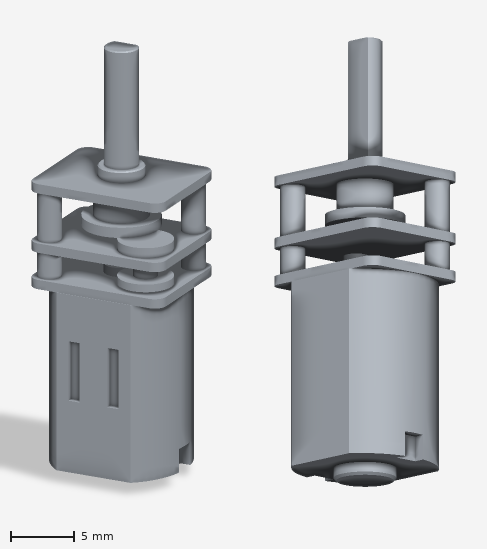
import cadquery as cq

OVERALL_HEIGHT = 35.7
BOSS_HEIGHT = 1.0
CAP_THICKNESS = 1.0
CAN_LENGTH = 13.95
PLATE_THICKNESS = 0.8
LOWER_GAP = 2.3
UPPER_GAP = 4.2
CAP_BOTTOM_Z = BOSS_HEIGHT
CAN_BOTTOM_Z = CAP_BOTTOM_Z + CAP_THICKNESS
CAN_TOP_Z = CAN_BOTTOM_Z + CAN_LENGTH
LOWER_PLATE_TOP_Z = CAN_TOP_Z + PLATE_THICKNESS
MIDDLE_PLATE_Z = LOWER_PLATE_TOP_Z + LOWER_GAP
MIDDLE_PLATE_TOP_Z = MIDDLE_PLATE_Z + PLATE_THICKNESS
UPPER_PLATE_Z = MIDDLE_PLATE_TOP_Z + UPPER_GAP
UPPER_PLATE_TOP_Z = UPPER_PLATE_Z + PLATE_THICKNESS

MOTOR_WIDTH = 11.42
MOTOR_DEPTH = 9.8
MOTOR_FLAT_WIDTH = 6.6
BOSS_DIAMETER = 5.0
BOSS_CHAMFER = 0.2
SIDE_NOTCH_WIDTH = 2.0
SIDE_NOTCH_HEIGHT = 2.0
SIDE_NOTCH_DEPTH = 1.0
POCKET_WIDTH = 1.0
POCKET_HEIGHT = 5.0
POCKET_DEPTH = 0.5
POCKET_SPACING = 3.45
POCKET_CENTER_Z = 9.53

PLATE_WIDTH = 11.8
PLATE_DEPTH = 9.7
PLATE_CORNER_RADIUS = 1.0
POST_DIAMETER = 2.0
POST_X = 4.65
POST_Y = 3.5
COLLAR_DIAMETER = 3.8
COLLAR_HEIGHT = 0.95
COLLAR_CHAMFER = 0.1

PINION_DIAMETER = 2.85
PINION_HEIGHT = 0.75
IDLER_DIAMETER = 4.55
IDLER_X = 3.2
IDLER_Y = -2.1
ARBOR_DIAMETER = 2.0
UPPER_IDLER_THICKNESS = 0.85
LOWER_IDLER_THICKNESS = 0.65
LOWER_IDLER_CLEARANCE = 0.2

SHAFT_DIAMETER = 2.8
SHAFT_TIP_CHAMFER = 0.1
SHAFT_FLAT_Y = 0.8
ROUND_ABOVE_COLLAR = 0.2
OUTPUT_GEAR_DIAMETER = 6.4
OUTPUT_GEAR_THICKNESS = 0.85
HUB_DIAMETER = 4.55
OUTPUT_GEAR_Z = MIDDLE_PLATE_TOP_Z + UPPER_IDLER_THICKNESS
COLLAR_TOP_Z = UPPER_PLATE_TOP_Z + COLLAR_HEIGHT


def cylinder(diameter, bottom_z, top_z, x=0, y=0):
    """Upright cylinder between two heights."""
    base = cq.Workplane("XY", origin=(x, y, bottom_z))
    return base.circle(diameter / 2).extrude(top_z - bottom_z)


def block(size, bottom_center):
    """Box standing on the given point."""
    return cq.Workplane("XY").box(*size, centered=(True, True, False)).translate(bottom_center)


def motor_prism(bottom_z, height):
    """Motor cross-section: two flats joined by bulged sides."""
    half_flat = MOTOR_FLAT_WIDTH / 2
    half_width = MOTOR_WIDTH / 2
    half_depth = MOTOR_DEPTH / 2
    return (
        cq.Workplane("XY", origin=(0, 0, bottom_z))
        .moveTo(-half_flat, -half_depth)
        .lineTo(half_flat, -half_depth)
        .threePointArc((half_width, 0), (half_flat, half_depth))
        .lineTo(-half_flat, half_depth)
        .threePointArc((-half_width, 0), (-half_flat, -half_depth))
        .close()
        .extrude(height)
    )


def cut_side_notches(body):
    """Notches at both sides, open at the bottom, that cross the cap and reach into the can."""
    size = (2 * SIDE_NOTCH_DEPTH, SIDE_NOTCH_WIDTH, SIDE_NOTCH_HEIGHT)
    for side in (-1, 1):
        body = body.cut(block(size, (side * MOTOR_WIDTH / 2, 0, CAP_BOTTOM_Z)))
    return body


def make_can():
    can = cut_side_notches(motor_prism(CAN_BOTTOM_Z, CAN_LENGTH))
    pocket_size = (POCKET_WIDTH, 2 * POCKET_DEPTH, POCKET_HEIGHT)
    pocket_bottom_z = POCKET_CENTER_Z - POCKET_HEIGHT / 2
    for side in (-1, 1):
        pocket_x = side * POCKET_SPACING / 2
        can = can.cut(block(pocket_size, (pocket_x, -MOTOR_DEPTH / 2, pocket_bottom_z)))
    return can


def make_end_cap():
    cap = cut_side_notches(motor_prism(CAP_BOTTOM_Z, CAP_THICKNESS))
    boss = cylinder(BOSS_DIAMETER, 0, CAP_BOTTOM_Z).faces("<Z").chamfer(BOSS_CHAMFER)
    return cap.union(boss)


def make_plate(bottom_z):
    plate = block((PLATE_WIDTH, PLATE_DEPTH, PLATE_THICKNESS), (0, 0, bottom_z))
    return plate.edges("|Z").fillet(PLATE_CORNER_RADIUS)


def make_output_shaft():
    """Gear, hub and D-shaped shaft turning as one piece."""
    gear_top_z = OUTPUT_GEAR_Z + OUTPUT_GEAR_THICKNESS
    gear = cylinder(OUTPUT_GEAR_DIAMETER, OUTPUT_GEAR_Z, gear_top_z)
    hub = cylinder(HUB_DIAMETER, gear_top_z, UPPER_PLATE_Z)
    shaft = cylinder(SHAFT_DIAMETER, UPPER_PLATE_Z, OVERALL_HEIGHT)
    shaft = shaft.faces(">Z").chamfer(SHAFT_TIP_CHAMFER)
    flat_start_z = COLLAR_TOP_Z + ROUND_ABOVE_COLLAR
    flat_size = (SHAFT_DIAMETER, SHAFT_DIAMETER, OVERALL_HEIGHT - flat_start_z)
    flat_cut = block(flat_size, (0, SHAFT_FLAT_Y + SHAFT_DIAMETER / 2, flat_start_z))
    return gear.union(hub).union(shaft.cut(flat_cut))


def make_idler():
    """Two gear discs on one arbor that is fixed in the middle plate."""
    lower_z = LOWER_PLATE_TOP_Z + LOWER_IDLER_CLEARANCE
    lower_top_z = lower_z + LOWER_IDLER_THICKNESS
    lower = cylinder(IDLER_DIAMETER, lower_z, lower_top_z, IDLER_X, IDLER_Y)
    arbor = cylinder(ARBOR_DIAMETER, lower_top_z, MIDDLE_PLATE_TOP_Z, IDLER_X, IDLER_Y)
    upper = cylinder(IDLER_DIAMETER, MIDDLE_PLATE_TOP_Z, OUTPUT_GEAR_Z, IDLER_X, IDLER_Y)
    return lower.union(arbor).union(upper)


def make_gearbox_frame():
    """Three plates on two diagonal posts, with the collar, pinion and idler."""
    frame = make_plate(CAN_TOP_Z)
    for side in (-1, 1):
        frame = frame.union(
            cylinder(POST_DIAMETER, CAN_TOP_Z, UPPER_PLATE_TOP_Z, side * POST_X, side * POST_Y)
        )
    for plate_z in (MIDDLE_PLATE_Z, UPPER_PLATE_Z):
        frame = frame.union(make_plate(plate_z))
    collar = cylinder(COLLAR_DIAMETER, UPPER_PLATE_TOP_Z, COLLAR_TOP_Z)
    frame = frame.union(collar.faces(">Z").chamfer(COLLAR_CHAMFER))
    frame = frame.union(make_idler())
    frame = frame.union(cylinder(PINION_DIAMETER, LOWER_PLATE_TOP_Z, LOWER_PLATE_TOP_Z + PINION_HEIGHT))
    shaft_bore = cylinder(SHAFT_DIAMETER, UPPER_PLATE_Z, COLLAR_TOP_Z)
    return frame.cut(shaft_bore)


can = make_can()
end_cap = make_end_cap()
gearbox_frame = make_gearbox_frame()
output_shaft = make_output_shaft()

result = cq.Compound.makeCompound(
    [can.val(), end_cap.val(), gearbox_frame.val(), output_shaft.val()]
)